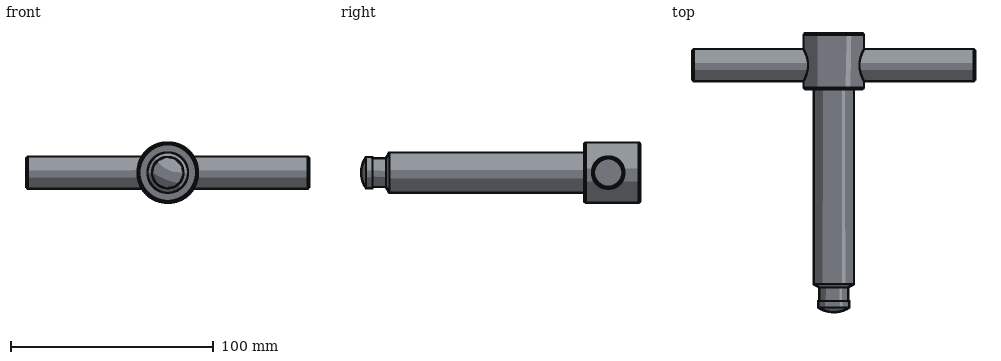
import cadquery as cq

bar_length = 140.0
bar_diameter = 16.0
bar_chamfer = 1.0

overall_depth = 138.0
head_diameter = 30.0
head_length = 28.0
head_back_y = 16.0
head_chamfer = 1.0
shaft_diameter = 20.0
neck_diameter = 14.4
neck_length = 6.7
shoulder_length = 1.7
tip_diameter = 15.5
tip_rim_length = 3.1
dome_height = 2.5

head_front_y = head_back_y - head_length
tip_y = head_back_y - overall_depth
dome_base_y = tip_y + dome_height
neck_front_y = dome_base_y + tip_rim_length
neck_back_y = neck_front_y + neck_length
shaft_end_y = neck_back_y + shoulder_length


def make_bar():
    """Round cross bar with chamfered ends."""
    bar = cq.Workplane("YZ").circle(bar_diameter / 2).extrude(bar_length / 2, both=True)
    return bar.faces("<X or >X").chamfer(bar_chamfer)


def make_spindle():
    """Head, shaft, necked tip and domed end, revolved about the Y axis."""
    head_radius = head_diameter / 2
    shaft_radius = shaft_diameter / 2
    neck_radius = neck_diameter / 2
    tip_radius = tip_diameter / 2

    dome_radius = (tip_radius**2 + dome_height**2) / (2 * dome_height)
    mid_x = tip_radius / 2
    mid_y = tip_y + dome_radius - (dome_radius**2 - mid_x**2) ** 0.5

    profile = (
        cq.Workplane("XY")
        .moveTo(0, head_back_y)
        .lineTo(head_radius - head_chamfer, head_back_y)
        .lineTo(head_radius, head_back_y - head_chamfer)
        .lineTo(head_radius, head_front_y + head_chamfer)
        .lineTo(head_radius - head_chamfer, head_front_y)
        .lineTo(shaft_radius, head_front_y)
        .lineTo(shaft_radius, shaft_end_y)
        .lineTo(neck_radius, neck_back_y)
        .lineTo(neck_radius, neck_front_y)
        .lineTo(tip_radius, neck_front_y)
        .lineTo(tip_radius, dome_base_y)
        .threePointArc((mid_x, mid_y), (0, tip_y))
        .close()
    )
    return profile.revolve(360, (0, 0, 0), (0, 1, 0))


result = make_spindle().union(make_bar())